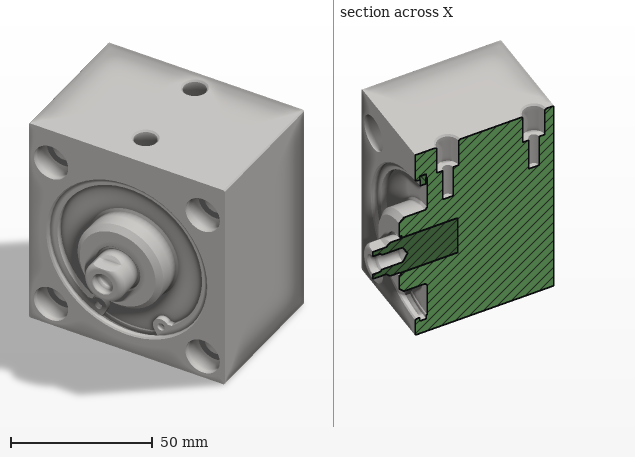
import cadquery as cq
import math


width = 80.0
height = 85.0
total_length = 72.5
boss_length = 6.5
rod_reach = 10.5
body_depth = total_length - boss_length - rod_reach
block_mid_z = 2.5
edge_chamfer = 0.5

screw_offset = 30.9
screw_hole_dia = 9.0
screw_head_dia = 14.0
screw_head_depth = 9.0

port_ys = (13.1, 47.5)
port_dia = 8.6
port_rim_dia = 9.9
port_depth = 12.0
port_rim_depth = (port_rim_dia - port_dia) / 2
port_drill_dia = 4.0
port_drill_depth = 25.5

recess_dia = 64.8
recess_chamfer = 0.5
groove_dia = 68.0
groove_front = 2.0
ring_thickness = 2.4
groove_rear = groove_front + ring_thickness
recess_root = 0.3
recess_depth = groove_rear + recess_root

boss_dia = 35.0
boss_chamfer = 2.0
boss_root = 0.85
mouth_dia = 18.0
mouth_chamfer = 0.25
mouth_depth = 1.0
wiper_outer_dia = 17.7
wiper_inner_dia = 16.6
wiper_rise = (wiper_outer_dia - wiper_inner_dia) / 2
rod_end = 17.0

ring_inner_radius = 29.5
lug_radius = 3.3
lug_x = 12.75
lug_z = -26.1
lug_hole_dia = 3.0
lug_lean = math.radians(29)
shoulder_z = lug_z + 2.0

rod_dia = 16.0
rod_fillet = 2.0
flat_width = 13.0
flat_length = 5.4
socket_rim_dia = 8.6
socket_dia = 8.25
socket_depth = 3.0
tip_hole_dia = 6.6
tip_hole_depth = 12.0
drill_point_depth = tip_hole_dia / 2 * math.tan(math.radians(30))


def revolve_about_y(profile):
    """Solid of revolution about the Y axis from (radius, y) points."""
    return cq.Workplane("XY").polyline(profile).close().revolve(360, (0, 0, 0), (0, 1, 0))


def cylinder_y(dia, y_start, y_end, x=0, z=0):
    """Cylinder parallel to Y between two depths."""
    solid = cq.Solid.makeCylinder(dia / 2, y_end - y_start, cq.Vector(x, y_start, z), cq.Vector(0, 1, 0))
    return cq.Workplane(obj=solid)


def make_port(y):
    """Chamfered port with a smaller drilled hole below it, cut down from the top face."""
    top = block_mid_z + height / 2
    profile = [
        (0, top),
        (port_rim_dia / 2, top),
        (port_dia / 2, top - port_rim_depth),
        (port_dia / 2, top - port_depth),
        (port_drill_dia / 2, top - port_depth),
        (port_drill_dia / 2, top - port_drill_depth),
        (0, top - port_drill_depth),
    ]
    port = cq.Workplane("XZ").polyline(profile).close().revolve(360, (0, 0, 0), (0, 1, 0))
    return port.translate((0, y, 0))


def make_recess():
    """Front recess with a chamfered mouth, the ring groove and a coned root."""
    recess_radius = recess_dia / 2
    groove_radius = groove_dia / 2
    return revolve_about_y([
        (0, 0),
        (recess_radius + recess_chamfer, 0),
        (recess_radius, recess_chamfer),
        (recess_radius, groove_front),
        (groove_radius, groove_front),
        (groove_radius, groove_rear),
        (recess_radius, groove_rear),
        (recess_radius - recess_root, recess_depth),
        (0, recess_depth),
    ])


def make_boss():
    """Solid boss from the recess floor to its chamfered front face."""
    boss_radius = boss_dia / 2
    return revolve_about_y([
        (0, recess_depth),
        (boss_radius + boss_root, recess_depth),
        (boss_radius, recess_depth - boss_root),
        (boss_radius, boss_chamfer - boss_length),
        (boss_radius - boss_chamfer, -boss_length),
        (0, -boss_length),
    ])


def make_rod_socket():
    """Blind hole that fits the rod, with a wider mouth and a raised wiper lip in the boss face."""
    mouth_radius = mouth_dia / 2
    mouth_floor = mouth_depth - boss_length
    return revolve_about_y([
        (0, -boss_length),
        (mouth_radius + mouth_chamfer, -boss_length),
        (mouth_radius, mouth_chamfer - boss_length),
        (mouth_radius, mouth_floor),
        (wiper_outer_dia / 2, mouth_floor),
        (wiper_inner_dia / 2, mouth_floor - wiper_rise),
        (rod_dia / 2, mouth_floor - wiper_rise),
        (rod_dia / 2, rod_end),
        (0, rod_end),
    ])


def make_housing():
    block = cq.Workplane("XY").box(width, body_depth, height)
    block = block.edges("|Y").chamfer(edge_chamfer)
    housing = block.translate((0, body_depth / 2, block_mid_z))
    for x in (-screw_offset, screw_offset):
        for z in (-screw_offset, screw_offset):
            housing = housing.cut(cylinder_y(screw_hole_dia, 0, body_depth, x, z))
            housing = housing.cut(cylinder_y(screw_head_dia, 0, screw_head_depth, x, z))
    for y in port_ys:
        housing = housing.cut(make_port(y))
    housing = housing.cut(make_recess()).union(make_boss())
    return housing.cut(make_rod_socket())


def make_retaining_ring():
    """Open ring with a lug and a plier hole at each end; its gap faces -Z."""
    outer_radius = groove_dia / 2
    along = (math.sin(lug_lean), -math.cos(lug_lean))
    tangent = (lug_x + lug_radius * along[1], lug_z - lug_radius * along[0])
    run = tangent[0] * along[0] + tangent[1] * along[1]
    offset = tangent[0] * along[1] - tangent[1] * along[0]
    end_length = math.sqrt(outer_radius**2 - offset**2) - run
    tip = (tangent[0] + end_length * along[0], tangent[1] + end_length * along[1])
    shoulder_x = math.sqrt(ring_inner_radius**2 - shoulder_z**2)
    lug_start_x = lug_x + math.sqrt(lug_radius**2 - (shoulder_z - lug_z) ** 2)
    outline = (
        cq.Workplane("XZ", origin=(0, groove_rear, 0))
        .moveTo(-shoulder_x, shoulder_z)
        .threePointArc((0, ring_inner_radius), (shoulder_x, shoulder_z))
        .lineTo(lug_start_x, shoulder_z)
        .threePointArc((lug_x, lug_z + lug_radius), tangent)
        .lineTo(*tip)
        .threePointArc((0, outer_radius), (-tip[0], tip[1]))
        .lineTo(-tangent[0], tangent[1])
        .threePointArc((-lug_x, lug_z + lug_radius), (-lug_start_x, shoulder_z))
        .close()
    )
    ring = outline.extrude(ring_thickness)
    for x in (-lug_x, lug_x):
        ring = ring.cut(cylinder_y(lug_hole_dia, groove_front, groove_rear, x, lug_z))
    return ring


def make_rod():
    """Round rod with a rounded tip, two wrench flats and a stepped hole in the tip."""
    tip_y = -boss_length - rod_reach
    rod = cylinder_y(rod_dia, tip_y, rod_end).faces("<Y").edges().fillet(rod_fillet)
    flat_end = tip_y + flat_length
    ramp = (rod_dia - flat_width) / 2
    flat_cut = (
        cq.Workplane("YZ", origin=(-rod_dia / 2, 0, 0))
        .polyline([
            (tip_y, flat_width / 2),
            (flat_end, flat_width / 2),
            (flat_end + ramp, rod_dia / 2),
            (tip_y, rod_dia / 2),
        ])
        .close()
        .extrude(rod_dia)
    )
    rod = rod.cut(flat_cut).cut(flat_cut.mirror("XY"))
    rim_depth = (socket_rim_dia - socket_dia) / 2
    step_depth = (socket_dia - tip_hole_dia) / 2
    tip_hole = revolve_about_y([
        (0, tip_y),
        (socket_rim_dia / 2, tip_y),
        (socket_dia / 2, tip_y + rim_depth),
        (socket_dia / 2, tip_y + socket_depth),
        (tip_hole_dia / 2, tip_y + socket_depth + step_depth),
        (tip_hole_dia / 2, tip_y + tip_hole_depth),
        (0, tip_y + tip_hole_depth + drill_point_depth),
    ])
    return rod.cut(tip_hole)


housing = make_housing()
retaining_ring = make_retaining_ring()
rod = make_rod()

result = cq.Compound.makeCompound([housing.val(), retaining_ring.val(), rod.val()])